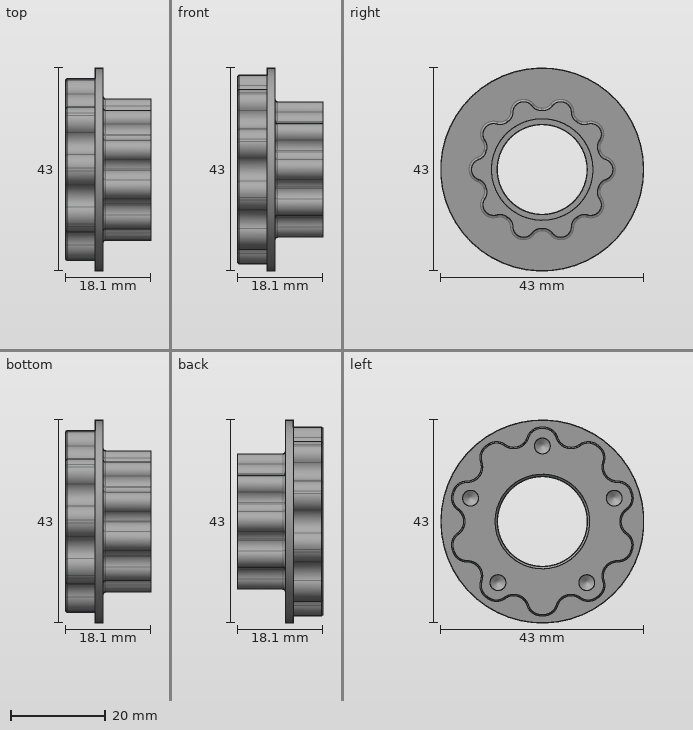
import cadquery as cq
import math

total_length = 18.15
front_rotor_length = 6.28
flange_thickness = 1.7
flange_back = front_rotor_length + flange_thickness
rear_rotor_length = total_length - flange_back

flange_radius = 21.5

lobe_count = 10
lobe_pitch = 360.0 / lobe_count
half_pitch = lobe_pitch / 2

front_tip_radius = 20.0
front_tip_round = 3.1
front_root_radius = 16.7
front_root_round = 3.0
front_edge_chamfer = 0.3

rear_tip_radius = 14.95
rear_tip_round = 2.25
rear_root_radius = 12.45
rear_root_round = 2.5
rear_base_fillet = 0.5

bore_radius = 9.5
bore_chamfer = 0.5
rear_bore_radius = 10.75

hole_count = 5
hole_circle_radius = 16.0
hole_radius = 1.68
hole_depth = 5.15
drill_point_angle = 118.0


def polar(radius, angle):
    """Point at an angle in degrees measured from +Y toward +Z."""
    return (radius * math.cos(math.radians(angle)), radius * math.sin(math.radians(angle)))


def lobed_prism(x_start, length, first_lobe, tip_radius, tip_round, root_radius, root_round, wide_tips):
    """Lobed prism along X, outlined by tip rounds and root rounds that meet tangentially.

    With wide_tips an arc about the axis joins the two rounds of each tip and the valley is
    one round; otherwise the tip is one round and an arc about the axis floors the valley.
    """
    tip_center_radius = tip_radius - tip_round
    root_center_radius = root_radius + root_round
    center_distance = tip_round + root_round

    center_squares = tip_center_radius**2 + root_center_radius**2
    spread_cosine = (center_squares - center_distance**2) / (2 * tip_center_radius * root_center_radius)
    arc_half_angle = half_pitch - math.degrees(math.acos(spread_cosine))
    tip_center_angle = arc_half_angle if wide_tips else 0.0
    root_center_angle = half_pitch if wide_tips else half_pitch - arc_half_angle

    tip_y, tip_z = polar(tip_center_radius, tip_center_angle)
    root_y, root_z = polar(root_center_radius, root_center_angle)
    tip_share = tip_round / center_distance
    touch_y = tip_y + tip_share * (root_y - tip_y)
    touch_z = tip_z + tip_share * (root_z - tip_z)
    touch_radius = math.hypot(touch_y, touch_z)
    touch_angle = math.degrees(math.atan2(touch_z, touch_y))

    if wide_tips:
        arcs = [
            (tip_radius, -arc_half_angle, tip_round, False),
            (tip_radius, arc_half_angle, tip_radius, False),
            (touch_radius, touch_angle, tip_round, False),
            (touch_radius, lobe_pitch - touch_angle, root_round, True),
        ]
    else:
        arcs = [
            (touch_radius, touch_angle, tip_round, False),
            (root_radius, half_pitch - arc_half_angle, root_round, True),
            (root_radius, half_pitch + arc_half_angle, root_radius, False),
            (touch_radius, lobe_pitch - touch_angle, root_round, True),
        ]

    outline = cq.Workplane("YZ", origin=(x_start, 0, 0))
    outline = outline.moveTo(*polar(touch_radius, first_lobe - touch_angle))
    for lobe in range(lobe_count):
        lobe_angle = first_lobe + lobe * lobe_pitch
        for end_radius, end_angle, arc_radius, hollow in arcs:
            end_point = polar(end_radius, lobe_angle + end_angle)
            signed_radius = arc_radius if hollow else -arc_radius
            outline = outline.radiusArc(end_point, signed_radius)
    return outline.close().extrude(length)


def front_rotor():
    rotor = lobed_prism(
        x_start=0.0,
        length=front_rotor_length,
        first_lobe=half_pitch,
        tip_radius=front_tip_radius,
        tip_round=front_tip_round,
        root_radius=front_root_radius,
        root_round=front_root_round,
        wide_tips=True,
    )
    return rotor.faces("<X").chamfer(front_edge_chamfer)


def flange():
    return cq.Workplane("YZ", origin=(front_rotor_length, 0, 0)).circle(flange_radius).extrude(flange_thickness)


def rear_rotor():
    return lobed_prism(
        x_start=flange_back,
        length=rear_rotor_length,
        first_lobe=0.0,
        tip_radius=rear_tip_radius,
        tip_round=rear_tip_round,
        root_radius=rear_root_radius,
        root_round=rear_root_round,
        wide_tips=False,
    )


def flange_and_rear_rotor():
    """Flange and rear rotor joined, with a fillet around the foot of the rotor."""
    joined = flange().union(rear_rotor())
    half_box = (flange_radius + rear_tip_radius) / 2
    box_min = (flange_back - rear_base_fillet, -half_box, -half_box)
    box_max = (flange_back + rear_base_fillet, half_box, half_box)
    return joined.edges(cq.selectors.BoxSelector(box_min, box_max, boundingbox=True)).fillet(rear_base_fillet)


def bore():
    """Stepped bore along X with a conical lead-in at the front face."""
    mouth_radius = bore_radius + bore_chamfer
    return (
        cq.Workplane("XY")
        .lineTo(0, mouth_radius)
        .lineTo(bore_chamfer, bore_radius)
        .lineTo(flange_back, bore_radius)
        .lineTo(flange_back, rear_bore_radius)
        .lineTo(total_length, rear_bore_radius)
        .lineTo(total_length, 0)
        .close()
        .revolve(360, (0, 0, 0), (1, 0, 0))
    )


def drilled_holes():
    """Blind holes with conical ends, the first one straight above the axis."""
    point_length = hole_radius / math.tan(math.radians(drill_point_angle / 2))
    hole = (
        cq.Workplane("XY")
        .lineTo(0, hole_radius)
        .lineTo(hole_depth, hole_radius)
        .lineTo(hole_depth + point_length, 0)
        .close()
        .revolve(360, (0, 0, 0), (1, 0, 0))
        .translate((0, 0, hole_circle_radius))
    )
    holes = hole
    for index in range(1, hole_count):
        turn = index * 360.0 / hole_count
        holes = holes.union(hole.rotate((0, 0, 0), (1, 0, 0), turn))
    return holes


result = front_rotor().union(flange_and_rear_rotor()).cut(bore()).cut(drilled_holes())